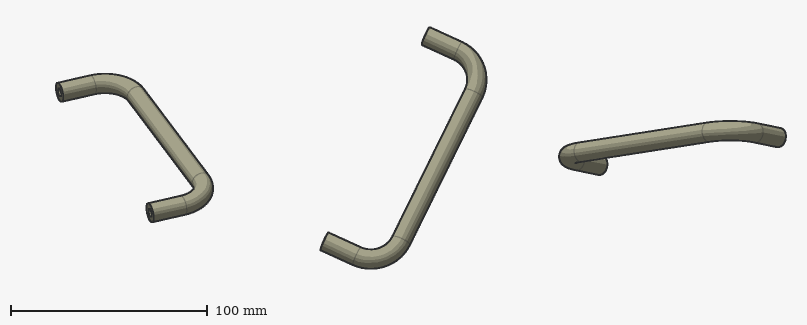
import cadquery as cq
import math

rod_diameter = 10.0
hole_spacing = 120.0
handle_height = 40.0
bend_radius = 17.0
hole_diameter = 4.13
hole_depth = 10.0
drill_point_angle = 118.0

leg_x = hole_spacing / 2
grip_y = handle_height - rod_diameter / 2
leg_length = grip_y - bend_radius
grip_end_x = leg_x - bend_radius


def make_rod():
    """Round rod swept along leg, bend, grip, bend and leg."""
    path = (
        cq.Workplane("XY")
        .moveTo(-leg_x, 0)
        .lineTo(-leg_x, leg_length)
        .radiusArc((-grip_end_x, grip_y), bend_radius)
        .lineTo(grip_end_x, grip_y)
        .radiusArc((leg_x, leg_length), bend_radius)
        .lineTo(leg_x, 0)
    )
    return cq.Workplane("XZ").center(-leg_x, 0).circle(rod_diameter / 2).sweep(path)


def make_hole(x):
    """Blind hole with a conical drill point, bored along +Y from a leg end."""
    radius = hole_diameter / 2
    tip_length = radius / math.tan(math.radians(drill_point_angle / 2))
    return (
        cq.Workplane("XY")
        .center(x, 0)
        .lineTo(radius, 0)
        .lineTo(radius, hole_depth)
        .lineTo(0, hole_depth + tip_length)
        .close()
        .revolve(360, (0, 0), (0, 1))
    )


result = make_rod()
for x in (-leg_x, leg_x):
    result = result.cut(make_hole(x))